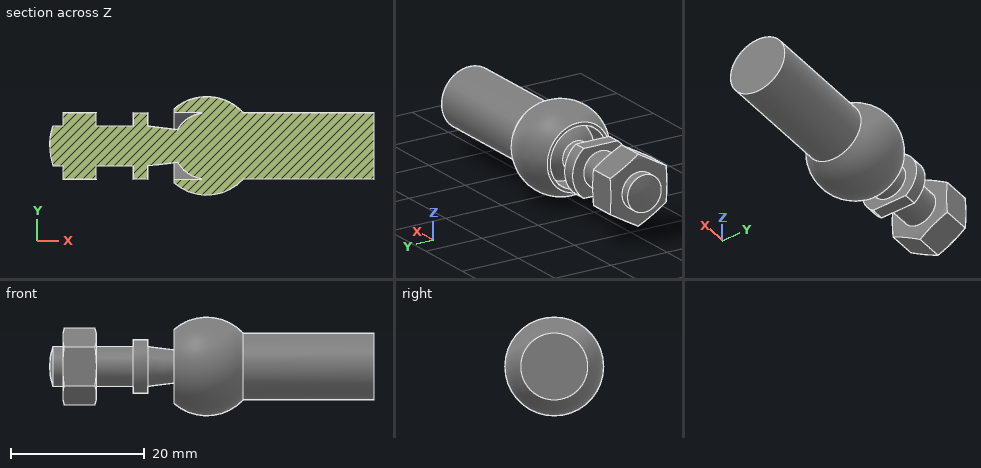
import cadquery as cq
import math

overall_length = 48.5

stud_radius = 3.0
tip_dome_height = 0.5

nut_start = 2.0
nut_thickness = 5.0
nut_across_flats = 10.0
nut_chamfer_angle = 15.0

collar_start = 12.5
collar_thickness = 2.2
collar_radius = 5.0
collar_across_flats = 8.0
collar_end = collar_start + collar_thickness

ball_center = 23.5
socket_radius = 7.4
socket_face_radius = 5.55
socket_bore_radius = 5.0
ball_radius = 5.0
neck_end_radius = 4.92 / 2
shank_radius = 5.0


def x_cylinder(radius, start, end):
    """Cylinder on the X axis between two X positions."""
    return cq.Workplane("YZ", origin=(start, 0, 0)).circle(radius).extrude(end - start)


def x_revolve(profile):
    """Revolve a closed profile, drawn in XY, around the X axis."""
    return profile.revolve(360, (0, 0, 0), (1, 0, 0))


def make_socket():
    """Truncated sphere, bored for the ball, with a solid cylindrical shank."""
    face_offset = math.sqrt(socket_radius**2 - socket_face_radius**2)
    shank_offset = math.sqrt(socket_radius**2 - shank_radius**2)
    socket_face = ball_center - face_offset
    socket_body = x_revolve(
        cq.Workplane("XY")
        .moveTo(socket_face, 0)
        .lineTo(socket_face, socket_face_radius)
        .threePointArc((ball_center, socket_radius), (ball_center + shank_offset, shank_radius))
        .lineTo(overall_length, shank_radius)
        .lineTo(overall_length, 0)
        .close()
    )
    return socket_body.cut(x_cylinder(socket_bore_radius, socket_face, ball_center))


def make_stud():
    """Domed rod, tapered neck and ball turned as one profile."""
    dome_radius = (stud_radius**2 + tip_dome_height**2) / (2 * tip_dome_height)
    dome_mid_radius = stud_radius / 2
    dome_mid_x = dome_radius - math.sqrt(dome_radius**2 - dome_mid_radius**2)
    neck_end = ball_center - math.sqrt(ball_radius**2 - neck_end_radius**2)
    neck_angle = math.atan2(neck_end_radius, ball_center - neck_end)
    ball_mid_angle = (neck_angle + math.pi / 2) / 2
    ball_mid = (
        ball_center - ball_radius * math.cos(ball_mid_angle),
        ball_radius * math.sin(ball_mid_angle),
    )
    profile = (
        cq.Workplane("XY")
        .moveTo(0, 0)
        .threePointArc((dome_mid_x, dome_mid_radius), (tip_dome_height, stud_radius))
        .lineTo(collar_end, stud_radius)
        .lineTo(neck_end, neck_end_radius)
        .threePointArc(ball_mid, (ball_center, ball_radius))
        .lineTo(ball_center, 0)
        .close()
    )
    return x_revolve(profile)


def make_collar():
    """Round collar with flats on its +Z and -Z sides."""
    flats = cq.Workplane("XY", origin=(collar_start + collar_thickness / 2, 0, 0)).box(
        collar_thickness, 2 * collar_radius, collar_across_flats
    )
    return x_cylinder(collar_radius, collar_start, collar_end).intersect(flats)


def make_nut():
    """Hexagon nut with corners on the Z axis and conically chamfered ends."""
    corner_radius = nut_across_flats / math.sqrt(3)
    face_radius = nut_across_flats / 2
    chamfer_depth = (corner_radius - face_radius) * math.tan(math.radians(nut_chamfer_angle))
    nut_end = nut_start + nut_thickness
    hexagon = (
        cq.Workplane("YZ", origin=(nut_start, 0, 0))
        .transformed(rotate=(0, 0, 90))
        .polygon(6, 2 * corner_radius)
        .extrude(nut_thickness)
    )
    envelope = x_revolve(
        cq.Workplane("XY")
        .moveTo(nut_start, 0)
        .lineTo(nut_start, face_radius)
        .lineTo(nut_start + chamfer_depth, corner_radius)
        .lineTo(nut_end - chamfer_depth, corner_radius)
        .lineTo(nut_end, face_radius)
        .lineTo(nut_end, 0)
        .close()
    )
    return hexagon.intersect(envelope)


result = make_socket().union(make_stud()).union(make_collar()).union(make_nut())